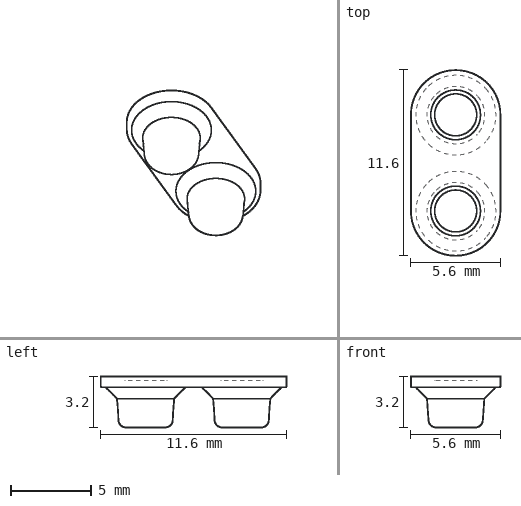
import cadquery as cq

length = 11.6
width = 5.6
plate_thickness = 0.7
plate_edge_radius = 0.09

total_height = 3.2
stud_spacing = length - width
flare_height = 0.7
flare_top_radius = 2.49
stud_top_radius = 1.8
stud_bottom_radius = 1.67
stud_edge_radius = 0.49

recess_top_radius = 1.55
recess_floor_radius = 1.31
recess_depth = 0.25


def make_plate():
    plate = (
        cq.Workplane("XY")
        .slot2D(length, width, 90)
        .extrude(-plate_thickness)
    )
    return plate.faces("<Z").edges().fillet(plate_edge_radius)


def make_stud():
    """Tapered stud with a conical flare, revolved about Z."""
    flare_bottom = -plate_thickness - flare_height
    stud = (
        cq.Workplane("XZ")
        .moveTo(0, -plate_thickness)
        .lineTo(flare_top_radius, -plate_thickness)
        .lineTo(stud_top_radius, flare_bottom)
        .lineTo(stud_bottom_radius, -total_height)
        .lineTo(0, -total_height)
        .close()
        .revolve(360, (0, 0), (0, 1))
    )
    return stud.faces("<Z").edges().fillet(stud_edge_radius)


def make_recess():
    return (
        cq.Workplane("XY")
        .circle(recess_top_radius)
        .workplane(offset=-recess_depth)
        .circle(recess_floor_radius)
        .loft()
    )


result = make_plate()
for stud_y in (-stud_spacing / 2, stud_spacing / 2):
    result = result.union(make_stud().translate((0, stud_y, 0)))
    result = result.cut(make_recess().translate((0, stud_y, 0)))